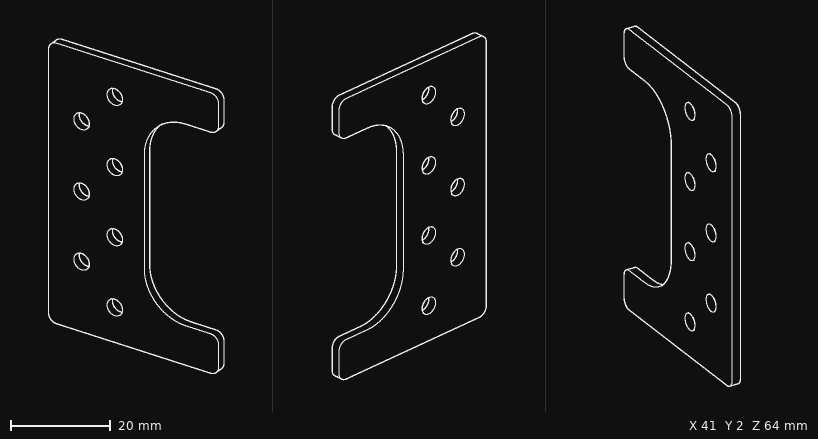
import cadquery as cq

width = 41.0
height = 64.0
thickness = 2.0
corner_radius = 2.0

web_width = 23.1
arm_height = 9.0
notch_radius = 10.0
notch_depth = width - web_width
notch_height = height - 2 * arm_height

hole_diameter = 3.7
hole_pitch = 16.0
column_spacing = hole_pitch / 2
outer_column_x = -width / 2 + column_spacing
inner_column_x = outer_column_x + column_spacing
outer_column_count = 3
inner_column_count = 4


def make_plate():
    """C-shaped plate with rounded outer corners and notch corners."""
    plate = cq.Workplane("XZ").rect(width, height).extrude(thickness / 2, both=True)
    notch = (
        cq.Workplane("XZ")
        .center(width / 2 - notch_depth / 2, 0)
        .rect(notch_depth, notch_height)
        .extrude(thickness, both=True)
        .edges("|Y and <X")
        .fillet(notch_radius)
    )
    return plate.cut(notch).edges("|Y and (<X or >X)").fillet(corner_radius)


def hole_column(x, count):
    """Evenly pitched hole centres, symmetric about mid-height."""
    return [(x, (i - (count - 1) / 2) * hole_pitch) for i in range(count)]


hole_centres = hole_column(outer_column_x, outer_column_count)
hole_centres += hole_column(inner_column_x, inner_column_count)
holes = (
    cq.Workplane("XZ")
    .pushPoints(hole_centres)
    .circle(hole_diameter / 2)
    .extrude(thickness, both=True)
)

result = make_plate().cut(holes)